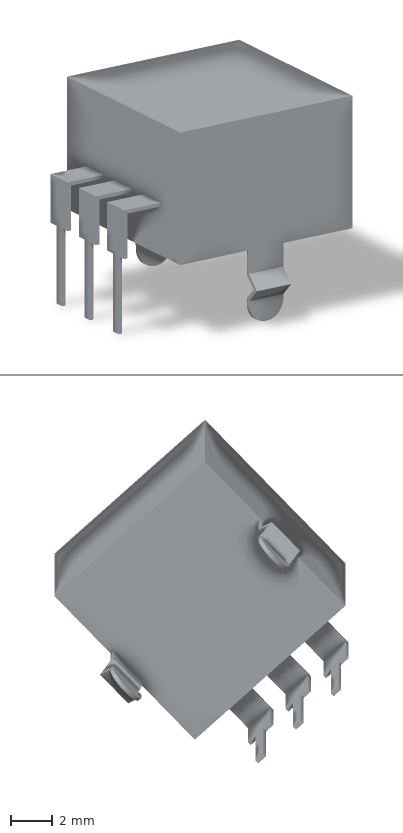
import cadquery as cq
import math

body_size = 10.0
body_height = 6.8
half_body = body_size / 2

leg_depth = 3.8
sheet = 0.2

clip_width = 2.0
kink_reach = 0.7
kink_top = -1.2

terminal_count = 3
terminal_pitch = 2.5
terminal_reach = 2.1
tab_width = 1.5
tab_top = 2.7
tab_bottom = 0.2
pin_width = 0.5


def make_body():
    return cq.Workplane("XY").box(body_size, body_size, body_height, centered=(True, True, False))


def make_right_clip():
    """Clip on the +X side, its straight parts flush with the body side."""
    outer_x = half_body
    inner_x = half_body - sheet
    apex_z = kink_top - kink_reach
    kink_bottom = apex_z - kink_reach
    corner_shift = sheet * math.tan(math.radians(45 / 2))
    apex_shift = sheet * math.sqrt(2)

    strip = (
        cq.Workplane("XZ")
        .moveTo(outer_x, 0)
        .lineTo(outer_x, kink_top)
        .lineTo(outer_x + kink_reach, apex_z)
        .lineTo(outer_x, kink_bottom)
        .lineTo(outer_x, -leg_depth)
        .lineTo(inner_x, -leg_depth)
        .lineTo(inner_x, kink_bottom + corner_shift)
        .lineTo(outer_x + kink_reach - apex_shift, apex_z)
        .lineTo(inner_x, kink_top - corner_shift)
        .lineTo(inner_x, 0)
        .close()
        .extrude(clip_width / 2, both=True)
    )

    tip_radius = clip_width / 2
    round_outline = (
        cq.Workplane("YZ")
        .moveTo(-tip_radius, 0)
        .lineTo(-tip_radius, tip_radius - leg_depth)
        .threePointArc((0, -leg_depth), (tip_radius, tip_radius - leg_depth))
        .lineTo(tip_radius, 0)
        .close()
        .extrude(half_body + kink_reach)
    )
    return strip.intersect(round_outline)


def make_terminal(center_x):
    """Terminal leaving the -Y face and bending down into a pin."""
    outer_y = -half_body - terminal_reach

    def block(width, length, bottom, top):
        return (
            cq.Workplane("XY")
            .box(width, length, top - bottom, centered=(True, False, False))
            .translate((center_x, outer_y, bottom))
        )

    arm = block(tab_width, terminal_reach, tab_top - sheet, tab_top)
    tab = block(tab_width, sheet, tab_bottom, tab_top)
    pin = block(pin_width, sheet, -leg_depth, tab_bottom)
    return arm.union(tab).union(pin)


result = make_body()

right_clip = make_right_clip()
result = result.union(right_clip).union(right_clip.mirror("YZ"))

for index in range(terminal_count):
    offset = index - (terminal_count - 1) / 2
    result = result.union(make_terminal(offset * terminal_pitch))